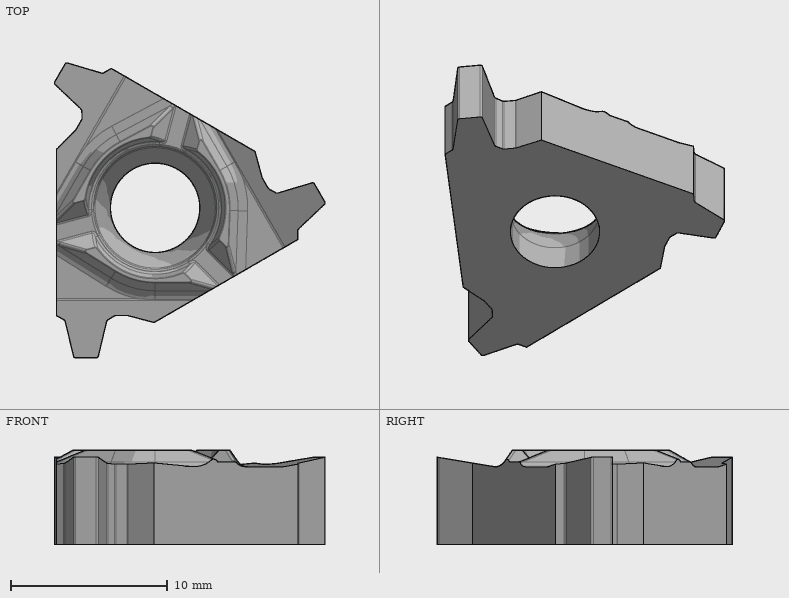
import math

import cadquery as cq

CORNERS = 3
CORNER_STEP = 360 / CORNERS
INRADIUS = 6.32
FLOOR_Z = 4.98
TOP_Z = 6.05

TOOTH_X = -4.425
TIP_Y = -9.59
ROOT_Y = -7.20
SHOULDER_Y = -6.89
TIP_HALF_WIDTH = 0.775
ROOT_HALF_WIDTH = 1.345
SHOULDER_HALF_WIDTH = 1.86
TIP_ROUND = 0.15
ROOT_ROUND = 0.2
HEEL_START_X = -1.77
HEEL_END_X = -0.07

RAMP_START_Y = -5.87
RAMP_END_Y = -10.5
RAMP_ANGLE = 9.4
RAMP_BLEND_RADIUS = 0.8
RAMP_HALF_LENGTH = 12

BOSS_TOP_RADIUS = 4.78
BOSS_WALL_ANGLE = 35
BOSS_FOOT_RADIUS = 0.75
BOSS_EDGE_ROUND = 0.06
BOSS_FLAT_ANGLES = (-122, -90)

SLOT_ANGLE = -45
SLOT_OFFSET = -0.09
SLOT_FLOOR_Z = 5.28
SLOT_FLOOR_WIDTH = 1.1
SLOT_WALL_ANGLE = 52
SLOT_LENGTH = 9.0
RIDGE_ROUND = 0.2

HOLE_RADIUS = 5.7 / 2
BELL_START_Z = 2.15
BELL_END_Z = 5.0
BELL_END_RADIUS = 3.85
RIM_RADIUS = 3.98
RECESS_FLOOR_RADIUS = 4.2
RECESS_TOP_RADIUS = 4.5
POCKET_FLOOR_ROUND = 0.2
RIM_ROUND = 0.15
RECESS_CORNER_ROUND = 0.2

BLANK_RADIUS = 11.5
OVERCUT = 1.0
TOUCH_GAP = 0.005


def turned(x, y, angle):
    """Point (x, y) turned about the origin by an angle in degrees."""
    a = math.radians(angle)
    return (x * math.cos(a) - y * math.sin(a), x * math.sin(a) + y * math.cos(a))


def edges_at(body, point):
    """Edges of a body that pass through one point."""
    vertex = cq.Vertex.makeVertex(*point)
    return body.edges().filter(lambda edge: edge.distance(vertex) < TOUCH_GAP)


def around(solid):
    """Union of the copies of a solid at the three corners."""
    copies = solid
    for i in range(1, CORNERS):
        copies = copies.union(solid.rotate((0, 0, 0), (0, 0, 1), i * CORNER_STEP))
    return copies


def tooth_outline():
    """Corner points of one third of the outline, running from -X to +X."""
    side_angle = math.radians(CORNER_STEP - 180)
    heel_end_y = (INRADIUS - HEEL_END_X * math.cos(side_angle)) / math.sin(side_angle)
    return [
        (-INRADIUS, SHOULDER_Y),
        (TOOTH_X - ROOT_HALF_WIDTH, ROOT_Y),
        (TOOTH_X - TIP_HALF_WIDTH, TIP_Y),
        (TOOTH_X + TIP_HALF_WIDTH, TIP_Y),
        (TOOTH_X + ROOT_HALF_WIDTH, ROOT_Y),
        (TOOTH_X + SHOULDER_HALF_WIDTH, SHOULDER_Y),
        (HEEL_START_X, SHOULDER_Y),
        (HEEL_END_X, heel_end_y),
    ]


def outline_prism(height):
    """Prism of the full outline with rounded tooth corners."""
    points = []
    for i in range(CORNERS):
        points += [turned(x, y, i * CORNER_STEP) for x, y in tooth_outline()]
    prism = cq.Workplane("XY").polyline(points).close().extrude(height)
    tip_round_points = [(TOOTH_X + side * TIP_HALF_WIDTH, TIP_Y) for side in (-1, 1)]
    root_round_points = [(TOOTH_X + side * ROOT_HALF_WIDTH, ROOT_Y) for side in (-1, 1)]
    root_round_points += [(TOOTH_X + SHOULDER_HALF_WIDTH, SHOULDER_Y), (HEEL_START_X, SHOULDER_Y)]
    for radius, corners in ((TIP_ROUND, tip_round_points), (ROOT_ROUND, root_round_points)):
        for i in range(CORNERS):
            for corner in corners:
                x, y = turned(*corner, i * CORNER_STEP)
                edge = cq.selectors.NearestToPointSelector((x, y, height / 2))
                prism = prism.edges(edge).fillet(radius)
    return prism


def blank_with_boss():
    """Round blank with a tapered boss: two flats and one arc per corner, and a filleted foot."""
    wall_run = (TOP_Z - FLOOR_Z) * math.tan(math.radians(BOSS_WALL_ANGLE))
    radius = BOSS_TOP_RADIUS + wall_run
    first, second = BOSS_FLAT_ANGLES
    half_gap = (first + CORNER_STEP - second) / 2
    meet_radius = radius / math.cos(math.radians(half_gap))
    profile = cq.Workplane("XY").workplane(offset=FLOOR_Z)
    profile = profile.moveTo(*turned(meet_radius, 0, first - half_gap))
    for i in range(CORNERS):
        turn = i * CORNER_STEP
        profile = profile.lineTo(*turned(radius, 0, first + turn))
        profile = profile.threePointArc(
            turned(radius, 0, (first + second) / 2 + turn),
            turned(radius, 0, second + turn),
        )
        if i < CORNERS - 1:
            profile = profile.lineTo(*turned(meet_radius, 0, second + half_gap + turn))
    frustum = profile.close().extrude(TOP_Z - FLOOR_Z, taper=BOSS_WALL_ANGLE)
    raised = cq.Workplane("XY").circle(BLANK_RADIUS).extrude(FLOOR_Z).union(frustum)
    foot_edges = raised.edges().filter(
        lambda edge: abs(edge.Center().z - FLOOR_Z) < TOUCH_GAP
        and edge.BoundingBox().xmax < BLANK_RADIUS - TOUCH_GAP
    )
    return foot_edges.fillet(BOSS_FOOT_RADIUS)


def ramp():
    """Wedge that lifts the tooth above the floor, with a rounded start."""
    angle = math.radians(RAMP_ANGLE)
    tangent = RAMP_BLEND_RADIUS * math.tan(angle / 2)
    rise = (RAMP_START_Y - RAMP_END_Y) * math.tan(angle)
    half = angle / 2
    return (
        cq.Workplane("YZ", origin=(-RAMP_HALF_LENGTH, 0, 0))
        .moveTo(RAMP_START_Y + tangent, FLOOR_Z)
        .threePointArc(
            (
                RAMP_START_Y + tangent - RAMP_BLEND_RADIUS * math.sin(half),
                FLOOR_Z + RAMP_BLEND_RADIUS * (1 - math.cos(half)),
            ),
            (RAMP_START_Y - tangent * math.cos(angle), FLOOR_Z + tangent * math.sin(angle)),
        )
        .lineTo(RAMP_END_Y, FLOOR_Z + rise)
        .lineTo(RAMP_END_Y, 0)
        .lineTo(RAMP_START_Y + tangent, 0)
        .close()
        .extrude(2 * RAMP_HALF_LENGTH)
    )


def slot_half_width(z):
    """Half the width of a slot at height z."""
    return SLOT_FLOOR_WIDTH / 2 + (z - SLOT_FLOOR_Z) * math.tan(math.radians(SLOT_WALL_ANGLE))


def slot():
    """Slot with sloping walls that runs outward across the boss."""
    cut_top = TOP_Z + OVERCUT
    half_floor = slot_half_width(SLOT_FLOOR_Z)
    half_top = slot_half_width(cut_top)
    return (
        cq.Workplane("YZ")
        .moveTo(SLOT_OFFSET - half_floor, SLOT_FLOOR_Z)
        .lineTo(SLOT_OFFSET + half_floor, SLOT_FLOOR_Z)
        .lineTo(SLOT_OFFSET + half_top, cut_top)
        .lineTo(SLOT_OFFSET - half_top, cut_top)
        .close()
        .extrude(SLOT_LENGTH)
        .rotate((0, 0, 0), (0, 0, 1), SLOT_ANGLE)
    )


def recess():
    """Conical recess around the hole mouth, as deep as the slots."""
    slope = (RECESS_TOP_RADIUS - RECESS_FLOOR_RADIUS) / (TOP_Z - SLOT_FLOOR_Z)
    cut_top_radius = RECESS_TOP_RADIUS + OVERCUT * slope
    return (
        cq.Workplane("XZ")
        .moveTo(0, SLOT_FLOOR_Z)
        .lineTo(RECESS_FLOOR_RADIUS, SLOT_FLOOR_Z)
        .lineTo(cut_top_radius, TOP_Z + OVERCUT)
        .lineTo(0, TOP_Z + OVERCUT)
        .close()
        .revolve(360, (0, 0, 0), (0, 1, 0))
    )


def pocket():
    """Recess and slots in one, with rounded corners and a rounded floor edge."""
    space = recess().union(around(slot()))
    z = (SLOT_FLOOR_Z + TOP_Z) / 2
    wall_radius = (RECESS_FLOOR_RADIUS + RECESS_TOP_RADIUS) / 2
    for side in (-1, 1):
        across = SLOT_OFFSET + side * slot_half_width(z)
        along = math.sqrt(wall_radius**2 - across**2)
        for i in range(CORNERS):
            corner = (*turned(along, across, SLOT_ANGLE + i * CORNER_STEP), z)
            space = edges_at(space, corner).fillet(RECESS_CORNER_ROUND)
    return space.faces("<Z").edges().fillet(POCKET_FLOOR_ROUND)


def hole():
    """Cylinder that flares into a bell towards the recess."""
    dr = BELL_END_RADIUS - HOLE_RADIUS
    dz = BELL_END_Z - BELL_START_Z
    sweep = 2 * math.atan2(dr, dz)
    bell_radius = dz / math.sin(sweep)
    bell_mid = (
        HOLE_RADIUS + bell_radius * (1 - math.cos(sweep / 2)),
        BELL_START_Z + bell_radius * math.sin(sweep / 2),
    )
    return (
        cq.Workplane("XZ")
        .moveTo(0, -OVERCUT)
        .lineTo(HOLE_RADIUS, -OVERCUT)
        .lineTo(HOLE_RADIUS, BELL_START_Z)
        .threePointArc(bell_mid, (BELL_END_RADIUS, BELL_END_Z))
        .lineTo(RIM_RADIUS, SLOT_FLOOR_Z)
        .lineTo(0, SLOT_FLOOR_Z)
        .close()
        .revolve(360, (0, 0, 0), (0, 1, 0))
    )


def round_ridges(body):
    """Round the ridges where the slot walls meet the flats of the boss."""
    z = (SLOT_FLOOR_Z + TOP_Z) / 2
    flat_distance = BOSS_TOP_RADIUS + (TOP_Z - z) * math.tan(math.radians(BOSS_WALL_ANGLE))
    before, after = BOSS_FLAT_ANGLES[1], BOSS_FLAT_ANGLES[0] + CORNER_STEP
    for side, flat in ((-1, before), (1, after)):
        across = SLOT_OFFSET + side * slot_half_width(z)
        lean = math.radians(flat - SLOT_ANGLE)
        along = (flat_distance - across * math.sin(lean)) / math.cos(lean)
        for i in range(CORNERS):
            ridge = (*turned(along, across, SLOT_ANGLE + i * CORNER_STEP), z)
            body = edges_at(body, ridge).fillet(RIDGE_ROUND)
    return body


def round_boss_rim(body):
    """Round the outer rim of the boss top."""
    for i in range(CORNERS):
        angle = sum(BOSS_FLAT_ANGLES) / 2 + i * CORNER_STEP
        rim = (*turned(BOSS_TOP_RADIUS, 0, angle), TOP_Z)
        body = edges_at(body, rim).fillet(BOSS_EDGE_ROUND)
    return body


def round_hole_rim(body):
    """Round the rim between the bell and the floor of the recess."""
    return edges_at(body, (RIM_RADIUS, 0, SLOT_FLOOR_Z)).fillet(RIM_ROUND)


blank = blank_with_boss().union(around(ramp()))
insert = blank.intersect(outline_prism(TOP_Z + OVERCUT))
insert = round_ridges(insert.cut(pocket()))
insert = round_boss_rim(insert)
result = round_hole_rim(insert.cut(hole()))